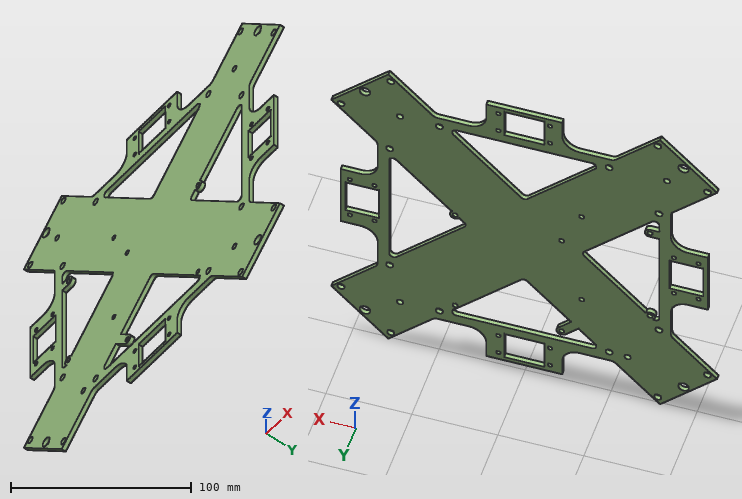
import cadquery as cq
import math

OVERALL = 224.3
THICKNESS = 3.0

ARM_WIDTH = 46.9
ARM_LENGTH = OVERALL * math.sqrt(2) - ARM_WIDTH
ARM_EDGE_OFFSET = ARM_WIDTH / math.sqrt(2)

FRAME_OUTER = 85.2
BAR_WIDTH = 6.7
FRAME_INNER = FRAME_OUTER - BAR_WIDTH
FRAME_CORNER = FRAME_OUTER - ARM_EDGE_OFFSET
ARM_TO_BAR_RADIUS = 5.0

OPENING_RADIUS = 2.5
OPENING_HALF_BASE = FRAME_INNER - ARM_EDGE_OFFSET

TAB_WIDTH = 44.2
TAB_REACH = 106.8
TAB_RADIUS = 10.0
WINDOW_WIDTH = 23.3
WINDOW_HEIGHT = 19.5
WINDOW_CENTRE = 94.2
SERVO_HOLE_DIAMETER = 2.5
SERVO_HOLE_SPACING_WIDE = 30.0
SERVO_HOLE_SPACING_DEEP = 14.4

ARM_HOLE_DIAMETER = 4.0
ARM_TIP_HOLE = (77.5, 106.5)
ARM_FRAME_HOLE = (49.3, 78.3)
ARM_END_HOLE_DIAMETER = 6.0
ARM_END_HOLE = 92.6

CORNER_HOLE_DIAMETER = 3.5
CORNER_HOLE_Z = 78.7
CORNER_HOLE_RIGHT_X = 72.2
CORNER_HOLE_TOP_LEFT_X = -83.0
CORNER_HOLE_BOTTOM_LEFT_X = -60.1

BOARD_HOLE_DIAMETER = 3.0
LUG_WIDTH = 6.0
LEFT_BOARD_X = (-73.1, -33.5)
LEFT_BOARD_Z = (-39.3, 31.0)
LOWER_BOARD_X = (-21.8, 40.2)
LOWER_BOARD_Z = (-70.2, 6.5)

EDGE_SEARCH = 1.1
QUARTER_TURNS = (0, 90, 180, 270)


def workplane():
    """Back face of the plate, seen from the front: local x is X and local y is Z."""
    return cq.Workplane("XZ", origin=(0, THICKNESS / 2, 0))


def plate(sketch):
    """Extrude a closed outline from the back face to the front face."""
    return sketch.extrude(THICKNESS)


def turned(body, angle):
    """Turn a body about the plate's central axis."""
    return body.rotate((0, 0, 0), (0, -1, 0), angle)


def drill(points, diameter):
    """Through-hole cutter at every point."""
    return plate(workplane().pushPoints(points).circle(diameter / 2))


def crossed_arms():
    arm = plate(workplane().rect(ARM_LENGTH, ARM_WIDTH))
    return turned(arm, 45).union(turned(arm, -45))


def frame():
    """Octagonal slab between the arms: four bar edges joined across the arms."""
    corners = [
        (FRAME_OUTER, FRAME_CORNER),
        (FRAME_CORNER, FRAME_OUTER),
        (-FRAME_CORNER, FRAME_OUTER),
        (-FRAME_OUTER, FRAME_CORNER),
        (-FRAME_OUTER, -FRAME_CORNER),
        (-FRAME_CORNER, -FRAME_OUTER),
        (FRAME_CORNER, -FRAME_OUTER),
        (FRAME_OUTER, -FRAME_CORNER),
    ]
    return plate(workplane().polyline(corners).close())


def tab():
    """Upper servo tab, reaching from the bar to its outer edge."""
    height = TAB_REACH - FRAME_INNER
    return plate(workplane().center(0, FRAME_INNER + height / 2).rect(TAB_WIDTH, height))


def edge_selector(x, z):
    """Selector box around the plate-thickness edge at (x, z)."""
    return cq.selectors.BoxSelector(
        (x - EDGE_SEARCH, -THICKNESS, z - EDGE_SEARCH),
        (x + EDGE_SEARCH, THICKNESS, z + EDGE_SEARCH),
    )


def fillet_bar_corners(body, x, radius):
    """Round the inside corners at distance x from the middle of every bar."""
    for side in (-x, x):
        for bar in (-FRAME_OUTER, FRAME_OUTER):
            for corner in ((side, bar), (bar, side)):
                body = body.edges("|Y").edges(edge_selector(*corner)).fillet(radius)
    return body


def opening():
    """Upper triangular opening with rounded corners."""
    corners = [
        (0, ARM_EDGE_OFFSET),
        (OPENING_HALF_BASE, FRAME_INNER),
        (-OPENING_HALF_BASE, FRAME_INNER),
    ]
    return plate(workplane().polyline(corners).close()).edges("|Y").fillet(OPENING_RADIUS)


def tab_cutouts():
    """Servo window of the upper tab and its four screw holes."""
    window = plate(workplane().center(0, WINDOW_CENTRE).rect(WINDOW_WIDTH, WINDOW_HEIGHT))
    half_wide = SERVO_HOLE_SPACING_WIDE / 2
    half_deep = SERVO_HOLE_SPACING_DEEP / 2
    screws = [(x, WINDOW_CENTRE + z) for x in (-half_wide, half_wide) for z in (-half_deep, half_deep)]
    return window.union(drill(screws, SERVO_HOLE_DIAMETER))


def arm_holes():
    """Holes of the upper-right arm, mirrored about the arm's own axis."""
    pairs = []
    for x, z in (ARM_TIP_HOLE, ARM_FRAME_HOLE):
        pairs += [(x, z), (z, x)]
    end_hole = drill([(ARM_END_HOLE, ARM_END_HOLE)], ARM_END_HOLE_DIAMETER)
    return drill(pairs, ARM_HOLE_DIAMETER).union(end_hole)


def lug(point, angle=0.0, length=0.0):
    """Round-ended lug centred on a hole; its stem runs back to the plate at the given angle."""
    body = drill([point], LUG_WIDTH)
    if length > 0:
        stem = workplane().center(*point).transformed(rotate=(0, 0, angle))
        body = body.union(plate(stem.center(length / 2, 0).rect(length, LUG_WIDTH)))
    return body


def lugs():
    left_x = LEFT_BOARD_X[0]
    left_low, left_high = LEFT_BOARD_Z
    lower_left_x, lower_right_x = LOWER_BOARD_X
    lower_low, lower_high = LOWER_BOARD_Z
    bar_stem = left_x + FRAME_OUTER - BAR_WIDTH / 2
    arm_stem = (lower_left_x - lower_low - ARM_EDGE_OFFSET) / math.sqrt(2) + LUG_WIDTH / 2
    return (
        lug((left_x, left_high), 180, bar_stem)
        .union(lug((left_x, left_low)))
        .union(lug((lower_right_x, lower_high)))
        .union(lug((lower_left_x, lower_low), 135, arm_stem))
    )


def board_holes():
    points = [(x, z) for x in LEFT_BOARD_X for z in LEFT_BOARD_Z]
    points += [(x, z) for x in LOWER_BOARD_X for z in LOWER_BOARD_Z]
    return drill(points, BOARD_HOLE_DIAMETER)


def corner_holes():
    points = [
        (CORNER_HOLE_RIGHT_X, CORNER_HOLE_Z),
        (CORNER_HOLE_RIGHT_X, -CORNER_HOLE_Z),
        (CORNER_HOLE_TOP_LEFT_X, CORNER_HOLE_Z),
        (CORNER_HOLE_BOTTOM_LEFT_X, -CORNER_HOLE_Z),
    ]
    return drill(points, CORNER_HOLE_DIAMETER)


result = crossed_arms().union(frame())
for angle in QUARTER_TURNS:
    result = result.union(turned(tab(), angle))
result = result.clean()
result = fillet_bar_corners(result, FRAME_CORNER, ARM_TO_BAR_RADIUS)
result = fillet_bar_corners(result, TAB_WIDTH / 2, TAB_RADIUS)

for angle in QUARTER_TURNS:
    result = result.cut(turned(opening(), angle))
    result = result.cut(turned(tab_cutouts(), angle))
    result = result.cut(turned(arm_holes(), angle))

result = result.union(lugs())
result = result.cut(board_holes()).cut(corner_holes()).clean()